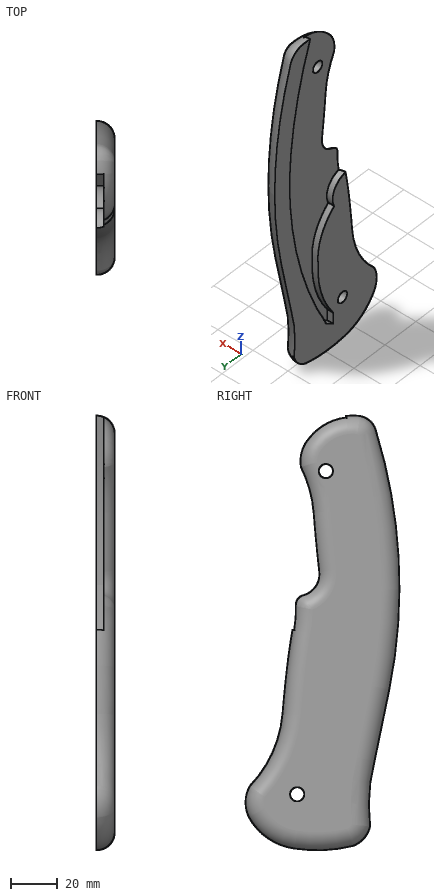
import cadquery as cq

THICKNESS = 8.0
WIDTH = 66.0
LENGTH = 186.0
EDGE_RADIUS = 7.8
POCKET_DEPTH = 3.3
HOLE_DIAMETER = 6.0
HOLE_CENTERS = [(1.5, 162.2), (-10.8, 24.0)]
BELLY_STEP = (-12.8, 94.3)
POCKET_TOP = (10.0, 185.8)
POCKET_CLEARANCE = 9.3


def handle_blank():
    """Closed handle outline extruded to the full thickness."""
    outline = (
        cq.Workplane("YZ")
        .moveTo(23.0, 179.0)
        .threePointArc((31.6, 137.7), (WIDTH / 2, 111.6))
        .threePointArc((31.8, 89.3), (28.6, 68.8))
        .lineTo(22.3, 38.1)
        .threePointArc((20.0, 24.2), (20.5, 10.5))
        .threePointArc((18.6, 6.1), (13.0, 1.9))
        .threePointArc((-1.3, 0.0), (-11.9, 0.7))
        .threePointArc((-23.6, 5.4), (-31.5, 14.1))
        .threePointArc((-33.0, 20.8), (-31.0, 27.5))
        .threePointArc((-21.2, 42.2), (-17.1, 58.5))
        .tangentArcPoint((-15.0, 79.0), relative=False)
        .tangentArcPoint(BELLY_STEP, relative=False)
        .tangentArcPoint((-12.0, 105.1), relative=False)
        .tangentArcPoint((-8.5, 109.8), relative=False)
        .tangentArcPoint((-2.0, 119.0), relative=False)
        .tangentArcPoint((-4.5, 144.4), relative=False)
        .tangentArcPoint((-9.9, 163.7), relative=False)
        .threePointArc((-9.7, 170.0), (-6.3, 176.5))
        .threePointArc((1.3, 183.0), POCKET_TOP)
        .threePointArc((13.0, LENGTH), (16.0, 185.8))
        .threePointArc((20.6, 183.5), (23.0, 179.0))
        .close()
    )
    return outline.extrude(THICKNESS)


def blade_pocket():
    """Shallow recess in the flat face, open through the tip and the belly."""
    tip_top = LENGTH + POCKET_CLEARANCE
    belly_side = -WIDTH / 2 - POCKET_CLEARANCE
    return (
        cq.Workplane("YZ")
        .moveTo(*POCKET_TOP)
        .threePointArc((20.0, 147.0), (23.5, 113.5))
        .threePointArc((17.3, 62.1), (-0.4, 15.8))
        .lineTo(-4.8, 12.7)
        .lineTo(-4.8, 19.0)
        .threePointArc((2.8, 35.0), (5.0, 54.0))
        .threePointArc((2.6, 68.8), (-5.4, 79.8))
        .threePointArc((-6.0, 89.7), BELLY_STEP)
        .lineTo(belly_side, BELLY_STEP[1])
        .lineTo(belly_side, tip_top)
        .lineTo(POCKET_TOP[0], tip_top)
        .close()
        .extrude(POCKET_DEPTH)
    )


def pin_holes():
    """Round holes through the full thickness."""
    return cq.Workplane("YZ").pushPoints(HOLE_CENTERS).circle(HOLE_DIAMETER / 2).extrude(THICKNESS)


rounded_blank = handle_blank().faces(">X").edges().fillet(EDGE_RADIUS)
result = rounded_blank.cut(blade_pocket()).cut(pin_holes())